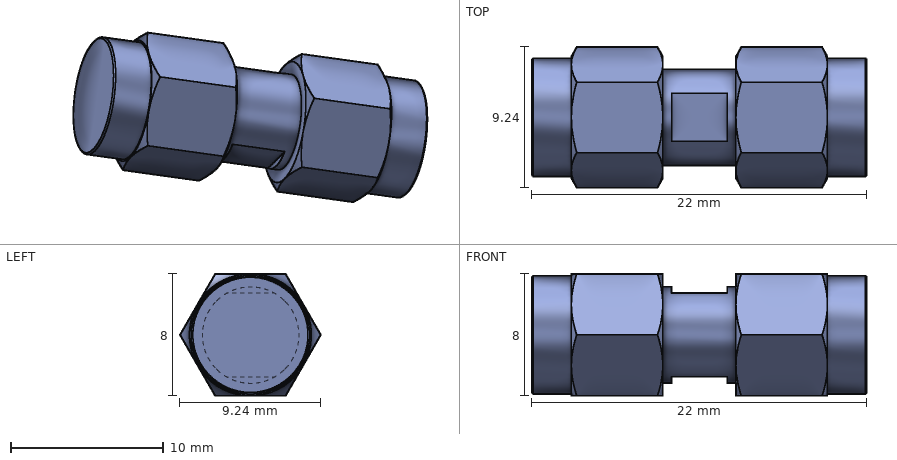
import cadquery as cq
import math

length = 22.0

across_flats = 8.0
across_corners = across_flats / math.cos(math.radians(30))
hex_length = 6.0
hex_face_radius = across_flats / 2
corner_chamfer_length = 0.35
collar_diameter = 7.79
collar_length = 2.6
collar_chamfer = 0.1
end_length = collar_length + hex_length

neck_diameter = 6.34
neck_flat_length = 3.65
across_neck_flats = 5.5

boss_length = 0.02
neck_length = length - 2 * end_length - boss_length


def corner_envelope():
    """Turned solid whose end cones chamfer the six hexagon corners."""
    corner_radius = across_corners / 2
    return (
        cq.Workplane("XY")
        .moveTo(collar_length, 0)
        .lineTo(collar_length, hex_face_radius)
        .lineTo(collar_length + corner_chamfer_length, corner_radius)
        .lineTo(end_length - corner_chamfer_length, corner_radius)
        .lineTo(end_length, hex_face_radius)
        .lineTo(end_length, 0)
        .close()
        .revolve(360, (0, 0, 0), (1, 0, 0))
    )


def coupling_end():
    """Round collar and hexagon, with the outer face at X = 0 and the hexagon towards +X."""
    collar = (
        cq.Workplane("YZ")
        .circle(collar_diameter / 2)
        .extrude(collar_length)
        .faces("<X")
        .chamfer(collar_chamfer)
    )
    hexagon = (
        cq.Workplane("YZ", origin=(collar_length, 0, 0))
        .polygon(6, across_corners)
        .extrude(hex_length)
        .intersect(corner_envelope())
    )
    return collar.union(hexagon)


def neck_cylinder(start, cylinder_length):
    """Cylinder of the neck diameter along X."""
    return (
        cq.Workplane("YZ", origin=(start, 0, 0))
        .circle(neck_diameter / 2)
        .extrude(cylinder_length)
    )


def cut_neck_flats(neck):
    """Mill the two opposite flats at the middle of the overall length."""
    cut_height = (neck_diameter - across_neck_flats) / 2
    cut_center_z = (across_neck_flats + cut_height) / 2
    for side in (-1, 1):
        cutter = cq.Workplane("XY").box(neck_flat_length, neck_diameter, cut_height)
        neck = neck.cut(cutter.translate((length / 2, 0, side * cut_center_z)))
    return neck


def make_body():
    """Coupling end at -X in one piece with the neck."""
    neck = cut_neck_flats(neck_cylinder(end_length, neck_length))
    return coupling_end().union(neck)


def make_coupling():
    """Mirrored end at +X, with the boss that meets the neck."""
    boss = neck_cylinder(end_length, boss_length)
    return coupling_end().union(boss).mirror("YZ").translate((length, 0, 0))


body = make_body()
coupling = make_coupling()

result = cq.Compound.makeCompound([body.solids().val(), coupling.solids().val()])